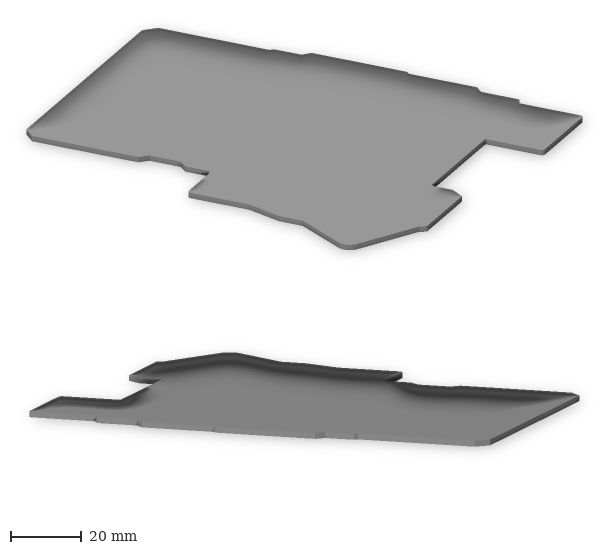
import cadquery as cq
import math

length = 138.1
width = 114.4
thickness = 1.7

corner_radius = 1.0
inner_corner_radius = 1.4
left_bevel = 3.5

back_y = width - 3.3
low_step_y = width - 2.3
high_step_y = width - 1.0

low_ramp = (38.4, 39.2)
crest_rise = (47.9, 50.0)
crest_fall = (80.0, 81.1)
step_fall = (102.5, 104.7)
tab_fall = (116.8, 118.0)

tab_back_y = width - 5.7
tab_front_y = width - 31.9
neck_x = 119.9

shoulder_x = 130.9
shoulder_y = width - 67.4
shoulder_bevel_x = 4.1
shoulder_bevel_y = 2.8
shoulder_foot_y = 21.4
shoulder_foot_bevel_x = 0.8
shoulder_foot_bevel_y = 0.7

front_y = 28.7
notch_top_y = 31.1
notch_mouth_left_x = 36.9
notch_top_left_x = 39.1
notch_top_right_x = 48.9
notch_mouth_right_x = 51.7

extension_x = 59.7
extension_y = 13.0
extension_end_x = 79.3
ledge_y = 9.5
ledge_left_x = 90.2

lobe_tilt = math.radians(30)
tip_radius = 3.9
tip_x = 116.5
tip_overhang = tip_radius * (math.sqrt(2) * math.cos(math.radians(45) - lobe_tilt) - 1)
tip_y = -tip_overhang
lobe_right_y = 20.2
lobe_right_x = tip_x + (lobe_right_y - tip_y) * math.tan(lobe_tilt)
lobe_left_x = tip_x - (ledge_y - tip_y) / math.tan(lobe_tilt)

back_edge = [
    (0, back_y - left_bevel),
    (left_bevel, back_y),
    (low_ramp[0], back_y),
    (low_ramp[1], low_step_y),
    (crest_rise[0], low_step_y),
    (crest_rise[1], width),
    (crest_fall[0], width),
    (crest_fall[1], high_step_y),
    (step_fall[0], high_step_y),
    (step_fall[1], back_y),
    (tab_fall[0], back_y),
    (tab_fall[1], tab_back_y),
]
tab_corners = [(length, tab_back_y), (length, tab_front_y)]
neck_top = (neck_x, tab_front_y)
neck_foot = (neck_x, shoulder_y)
shoulder = [
    (shoulder_x - shoulder_bevel_x, shoulder_y),
    (shoulder_x, shoulder_y - shoulder_bevel_y),
    (shoulder_x, shoulder_foot_y),
    (shoulder_x - shoulder_foot_bevel_x, shoulder_foot_y - shoulder_foot_bevel_y),
]
lobe_right = (lobe_right_x, lobe_right_y)
lobe_tip = (tip_x, tip_y)
ledge = [(lobe_left_x, ledge_y), (ledge_left_x, ledge_y), (extension_end_x, extension_y)]
extension_corner = (extension_x, extension_y)
extension_root = (extension_x, front_y)
front_edge = [
    (notch_mouth_right_x, front_y),
    (notch_top_right_x, notch_top_y),
    (notch_top_left_x, notch_top_y),
    (notch_mouth_left_x, front_y),
    (left_bevel, front_y),
    (0, front_y + left_bevel),
]

outline = (
    back_edge
    + tab_corners
    + [neck_top, neck_foot]
    + shoulder
    + [lobe_right, lobe_tip]
    + ledge
    + [extension_corner, extension_root]
    + front_edge
)


def round_corners(plate, corners, radius):
    """Fillet the upright edges that stand on the given outline corners."""
    for x, y in corners:
        edge = plate.edges(cq.selectors.NearestToPointSelector((x, y, thickness / 2)))
        plate = edge.fillet(radius)
    return plate


result = cq.Workplane("XY").polyline(outline).close().extrude(thickness)
result = round_corners(result, tab_corners + [neck_foot, extension_corner], corner_radius)
result = round_corners(result, [extension_root], inner_corner_radius)
result = round_corners(result, [lobe_tip], tip_radius)